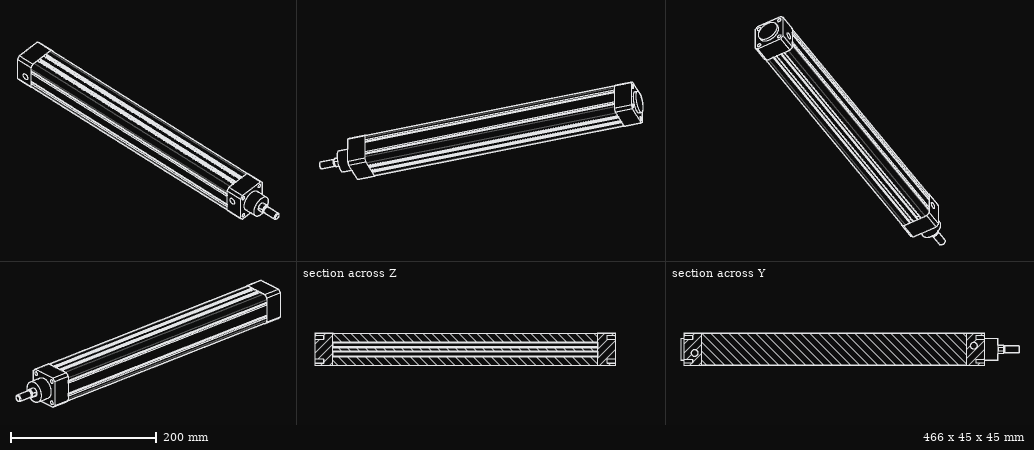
import cadquery as cq


overall_length = 466.0
boss_length = 4.0
body_length = 414.0
cap_length = 25.0
collar_length = 18.0
tube_length = body_length - 2 * cap_length
rod_length = overall_length - boss_length - body_length - collar_length
front_face_x = body_length
collar_face_x = front_face_x + collar_length

cap_width = 45.0
cap_chamfer = 4.0
boss_diameter = 30.0
screw_spacing = 32.5
screw_diameter = 5.2
screw_depth = 12.0
port_diameter = 9.0
port_depth = 10.0
port_inset = 15.0
port_offset = 5.0

tube_width = 44.5
tube_corner_radius = 6.3
slot_width = 5.2
slot_depth = 6.0
slot_lip = 2.0
undercut_width = 7.6
slot_offset = 6.2
groove_width = 4.3
groove_depth = 1.45
groove_offset = 9.9

rod_diameter = 12.0
flat_distance = 11.0
thread_diameter = 10.0
thread_length = 21.5
thread_chamfer = 1.2
relief_diameter = 9.4
relief_length = 1.2
shoulder_length = rod_length - thread_length
shoulder_chamfer = 1.0
flat_start = 1.0


def x_plane(x):
    """Plane across the cylinder axis: local x is Y, local y is Z, normal is +X."""
    return cq.Workplane("YZ", origin=(x, 0, 0))


def cap_block(start_x):
    """Square block with chamfered long edges."""
    block = x_plane(start_x).rect(cap_width, cap_width).extrude(cap_length)
    return block.edges("|X").chamfer(cap_chamfer)


def screw_holes(bottom_x):
    """Four corner screw holes, drilled as cutters running toward +X."""
    holes = x_plane(bottom_x).rect(screw_spacing, screw_spacing, forConstruction=True).vertices()
    return holes.circle(screw_diameter / 2).extrude(screw_depth)


def port(x, z):
    """Blind air port in the -Y face of a cap."""
    plane = cq.Workplane("XZ", origin=(x, port_depth - cap_width / 2, z))
    return plane.circle(port_diameter / 2).extrude(port_depth)


def make_rear_cap():
    boss = x_plane(-boss_length).circle(boss_diameter / 2).extrude(boss_length)
    cap = cap_block(0).union(boss)
    return cap.cut(screw_holes(0)).cut(port(port_inset, -port_offset))


def make_front_cap():
    collar = x_plane(front_face_x).circle(boss_diameter / 2).extrude(collar_length)
    cap = cap_block(front_face_x - cap_length).union(collar)
    cap = cap.cut(screw_holes(front_face_x - screw_depth))
    return cap.cut(port(front_face_x - port_inset, port_offset))


def make_tube():
    tube = x_plane(cap_length).rect(tube_width, tube_width).extrude(tube_length)
    tube = tube.edges("|X").fillet(tube_corner_radius)
    half = tube_width / 2
    undercut_depth = slot_depth - slot_lip
    floor_half = groove_width / 2 - groove_depth
    for side in (1, -1):
        for offset in (slot_offset, -slot_offset):
            mouth = (
                x_plane(cap_length)
                .center(offset, side * (half - slot_depth / 2))
                .rect(slot_width, slot_depth)
                .extrude(tube_length)
            )
            undercut = (
                x_plane(cap_length)
                .center(offset, side * (half - slot_lip - undercut_depth / 2))
                .rect(undercut_width, undercut_depth)
                .extrude(tube_length)
            )
            tube = tube.cut(mouth).cut(undercut)
        for offset in (groove_offset, -groove_offset):
            groove = (
                x_plane(cap_length)
                .moveTo(side * half, offset - groove_width / 2)
                .lineTo(side * (half - groove_depth), offset - floor_half)
                .lineTo(side * (half - groove_depth), offset + floor_half)
                .lineTo(side * half, offset + groove_width / 2)
                .close()
                .extrude(tube_length)
            )
            tube = tube.cut(groove)
    return tube


def make_rod():
    shoulder = x_plane(collar_face_x).circle(rod_diameter / 2).extrude(shoulder_length)
    shoulder = shoulder.faces(">X").chamfer(shoulder_chamfer)
    flat_length = shoulder_length - flat_start
    flat_cut = (rod_diameter - flat_distance) / 2
    for side in (1, -1):
        flat = (
            x_plane(collar_face_x + flat_start)
            .center(side * (flat_distance + flat_cut) / 2, 0)
            .rect(flat_cut, rod_diameter)
            .extrude(flat_length)
        )
        shoulder = shoulder.cut(flat)
    relief_x = collar_face_x + shoulder_length
    relief = x_plane(relief_x).circle(relief_diameter / 2).extrude(relief_length)
    thread = (
        x_plane(relief_x + relief_length)
        .circle(thread_diameter / 2)
        .extrude(thread_length - relief_length)
        .faces(">X")
        .chamfer(thread_chamfer)
    )
    return shoulder.union(relief).union(thread)


rear_cap = make_rear_cap()
tube = make_tube()
front_cap = make_front_cap()
rod = make_rod()

result = cq.Compound.makeCompound([rear_cap.val(), tube.val(), front_cap.val(), rod.val()])